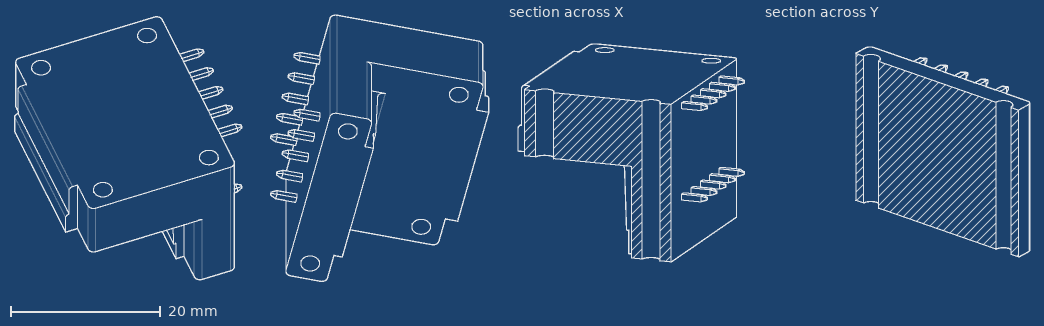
import cadquery as cq

width = 27.9
height = 21.9
upper_depth = 21.0
upper_height = 9.2
leg_depth = 5.72
corner_radius = 0.8

panel_width = 18.7
upper_panel_depth = 1.7
upper_panel_step_drop = 5.58
panel_edge_radius = 0.5
leg_panel_foot_depth = 1.15
leg_panel_foot_height = 3.25
leg_panel_low_depth = 1.45
leg_panel_high_depth = 1.73
inner_corner_radius = 1.05

hole_diameter = 2.5
hole_spacing_x = 22.65
hole_spacing_y = 15.23
hole_back_margin = 2.9

pin_count = 5
pin_pitch = 3.5
pin_width = 0.8
pin_tip_width = 0.3
pin_length = 3.5
pin_tip_length = 0.75
pin_row_spacing = 12.67
pin_top_margin = 1.23

ledge_z = height - upper_height
upper_front_y = -upper_depth
leg_front_y = -leg_depth


def rounded_block(depth, block_height, base_z):
    """Block standing in front of the back face, with rounded vertical edges."""
    block = cq.Workplane("XY").box(width, depth, block_height, centered=(True, True, False))
    return block.edges("|Z").fillet(corner_radius).translate((0, -depth / 2, base_z))


def panel_sketch():
    """Side-profile plane placed at the left end of the raised panels."""
    return cq.Workplane("YZ", origin=(-panel_width / 2, 0, 0))


def upper_panel():
    """Panel on the upper block, stepped back by one edge radius and rounded at both upper edges."""
    nose_y = upper_front_y - upper_panel_depth
    recess_y = nose_y + panel_edge_radius
    root_y = upper_front_y + corner_radius
    step_z = height - upper_panel_step_drop
    radius = panel_edge_radius
    return (
        panel_sketch()
        .moveTo(root_y, ledge_z)
        .lineTo(nose_y, ledge_z)
        .lineTo(nose_y, step_z - radius)
        .radiusArc((recess_y, step_z), radius)
        .lineTo(recess_y, height - radius)
        .radiusArc((recess_y + radius, height), radius)
        .lineTo(root_y, height)
        .close()
        .extrude(panel_width)
    )


def leg_panel():
    """Slightly sloping panel on the leg, blended into the underside of the upper block."""
    foot_y = leg_front_y - leg_panel_foot_depth
    low_y = leg_front_y - leg_panel_low_depth
    high_y = leg_front_y - leg_panel_high_depth
    root_y = leg_front_y + corner_radius
    radius = inner_corner_radius
    return (
        panel_sketch()
        .moveTo(root_y, 0)
        .lineTo(foot_y, 0)
        .lineTo(foot_y, leg_panel_foot_height)
        .lineTo(low_y, leg_panel_foot_height)
        .lineTo(high_y, ledge_z - radius)
        .radiusArc((high_y - radius, ledge_z), -radius)
        .lineTo(root_y, ledge_z)
        .close()
        .extrude(panel_width)
    )


def pin():
    """Square pin along +Y with a tapered tip, starting at the origin."""
    shank_length = pin_length - pin_tip_length
    shank = cq.Workplane("XZ").rect(pin_width, pin_width).extrude(-shank_length)
    tip = (
        cq.Workplane("XZ", origin=(0, shank_length, 0))
        .rect(pin_width, pin_width)
        .workplane(offset=-pin_tip_length)
        .rect(pin_tip_width, pin_tip_width)
        .loft(ruled=True)
    )
    return shank.union(tip)


def mounting_holes():
    """Four cylinders passing through the full height."""
    center_y = -hole_back_margin - hole_spacing_y / 2
    return (
        cq.Workplane("XY", origin=(0, center_y, 0))
        .rect(hole_spacing_x, hole_spacing_y, forConstruction=True)
        .vertices()
        .circle(hole_diameter / 2)
        .extrude(height)
    )


result = rounded_block(upper_depth, upper_height, ledge_z)
result = result.union(rounded_block(leg_depth, height, 0))
result = result.union(upper_panel()).union(leg_panel())
result = result.cut(mounting_holes())

upper_row_z = height - pin_top_margin
for row_z in (upper_row_z, upper_row_z - pin_row_spacing):
    for index in range(pin_count):
        pin_x = (index - (pin_count - 1) / 2) * pin_pitch
        result = result.union(pin().translate((pin_x, 0, row_z)))